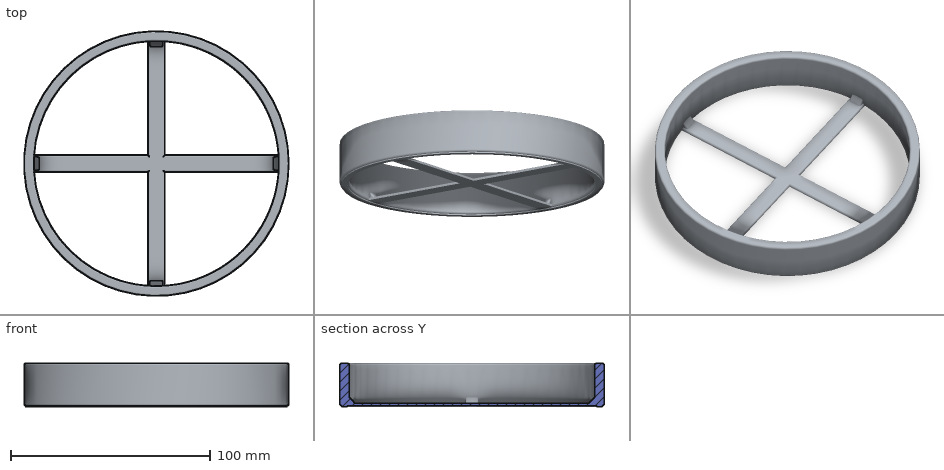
import cadquery as cq

outer_diameter = 133.0
inner_diameter = 123.0
height = 22.0
ring_edge_radius = 1.0
foot_height = 0.5
foot_inset = 0.9

bar_width = 8.6
bar_thickness = 1.5
bar_edge_radius = 1.0

gusset_length = 2.8
gusset_height = 2.9
gusset_edge_radius = 0.8

outer_radius = outer_diameter / 2
inner_radius = inner_diameter / 2
mid_wall_radius = (outer_radius + inner_radius) / 2
gusset_width = bar_width - 2 * bar_edge_radius


def make_tube(outside, inside, bottom, tube_height):
    return cq.Workplane("XY", origin=(0, 0, bottom)).circle(outside).circle(inside).extrude(tube_height)


def make_ring():
    """Ring body with all four rims rounded, joined to its inset foot."""
    body = make_tube(outer_radius, inner_radius, foot_height, height - foot_height)
    body = body.faces("<Z or >Z").edges().fillet(ring_edge_radius)
    foot = make_tube(
        outer_radius - foot_inset,
        inner_radius + foot_inset,
        0,
        foot_height + ring_edge_radius / 2,
    )
    return body.union(foot)


def make_cross():
    """Two crossed bars with rounded upper edges, mitred at the inner corners."""
    bar_length = 2 * mid_wall_radius
    floor = cq.Workplane("XY", origin=(0, 0, foot_height))
    bar_x = floor.rect(bar_length, bar_width).extrude(bar_thickness)
    bar_y = floor.rect(bar_width, bar_length).extrude(bar_thickness)
    return bar_x.union(bar_y).faces(">Z").edges().fillet(bar_edge_radius)


def make_gusset():
    """Wedge at the +X end; its slope runs on below the bar top so it blends into the bar."""
    slope = gusset_height / gusset_length
    slope_start = inner_radius - gusset_length - bar_thickness / slope
    end_height = foot_height + slope * (mid_wall_radius - slope_start)
    profile = [
        (slope_start, foot_height),
        (mid_wall_radius, foot_height),
        (mid_wall_radius, end_height),
    ]
    wedge = cq.Workplane("XZ").polyline(profile).close().extrude(gusset_width / 2, both=True)
    sloped_edges = wedge.edges("(not |X) and (not |Y) and (not |Z)")
    return sloped_edges.fillet(gusset_edge_radius)


result = make_ring().union(make_cross())
gusset = make_gusset()
for angle in (0, 90, 180, 270):
    result = result.union(gusset.rotate((0, 0, 0), (0, 0, 1), angle))